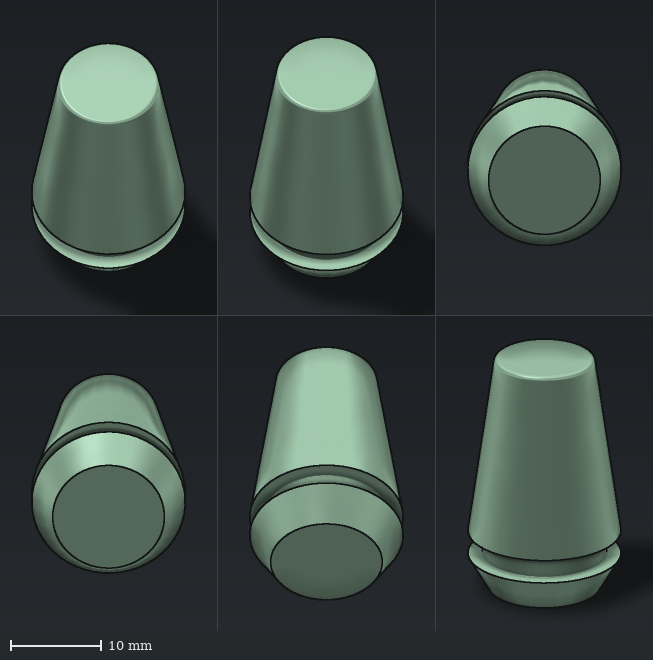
import cadquery as cq
import math

height = 27.5
outer_diameter = 17.0
groove_diameter = 13.8
groove_bottom = 4.02
groove_top = 6.7
nose_angle = 30.0
body_angle = 8.0
tip_fillet = 0.5
groove_fillet = 0.15

outer_radius = outer_diameter / 2
groove_radius = groove_diameter / 2
bottom_radius = outer_radius - groove_bottom * math.tan(math.radians(nose_angle))
tip_radius = outer_radius - (height - groove_top) * math.tan(math.radians(body_angle))

half_section = (
    cq.Workplane("XZ")
    .moveTo(0, 0)
    .lineTo(bottom_radius, 0)
    .lineTo(outer_radius, groove_bottom)
    .lineTo(groove_radius + groove_fillet, groove_bottom)
    .radiusArc((groove_radius, groove_bottom + groove_fillet), groove_fillet)
    .lineTo(groove_radius, groove_top - groove_fillet)
    .radiusArc((groove_radius + groove_fillet, groove_top), groove_fillet)
    .lineTo(outer_radius, groove_top)
    .lineTo(tip_radius, height)
    .lineTo(0, height)
    .close()
)
body = half_section.revolve(360, (0, 0, 0), (0, 1, 0))

result = body.faces(">Z").edges().fillet(tip_fillet)